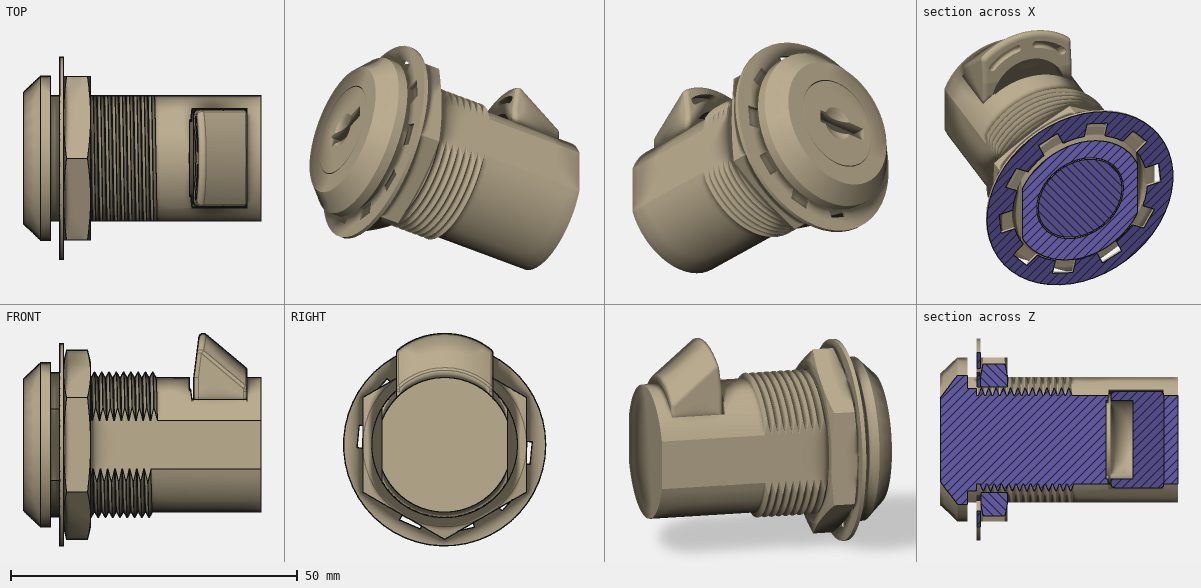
import cadquery as cq
import math


HEAD_RADIUS = 28.7 / 2
HEAD_FACE_RADIUS = 11.5
HEAD_BEVEL_LENGTH = 3.0
HEAD_LENGTH = 4.75
NECK_RADIUS = 12.6
BARREL_RADIUS = 11.75
HOUSING_LENGTH = 41.45
FLAT_HALF_WIDTH = 10.95

THREAD_RADIUS = 12.7
THREAD_PITCH = 1.27
THREAD_TURNS = 13
THREAD_END = 22.87
THREAD_START = THREAD_END - THREAD_TURNS * THREAD_PITCH
THREAD_ROOT_WIDTH = 1.25
THREAD_CREST_WIDTH = 0.06
THREAD_EMBED = 0.1
CREST_CLEARANCE = 0.02

PLUG_RADIUS = 15.95 / 2
PLUG_BORE_RADIUS = 16.31 / 2
KEYWAY_WIDTH = 10.1
KEYWAY_HEIGHT = 2.33
KEYWAY_OFFSET = -1.03
KEYWAY_DEPTH = 2.45
DIMPLE_RADIUS = 3.0
DIMPLE_DEPTH = 1.0

WASHER_START = 6.3
WASHER_THICKNESS = 0.7
WASHER_RADIUS = 35.31 / 2
WASHER_NOTCH_COUNT = 10
WASHER_NOTCH_WIDTH = 3.9
WASHER_NOTCH_REACH = 15.15
WASHER_NOTCH_PHASE = 5.5
NUT_START = WASHER_START + WASHER_THICKNESS
NUT_LENGTH = 4.7
NUT_CORNER_RADIUS = 16.5
NUT_FACE_RADIUS = 14.3
NUT_BEVEL_LENGTH = 0.52

PAWL_FRONT = 29.71
PAWL_BACK = 39.0
PAWL_HALF_WIDTH = 8.43
PAWL_LEAN_START = 11.75
LEAN_ANGLE = 7.1
PAWL_APEX_Z = 20.2
PAWL_SLOPE_ANGLE = 40.0
CROWN_AXIS_Z = 8.2
RECESS_AXIS_Z = 7.7
ROUND = 0.8
BACK_ROUND = 0.6
RECESS_RADIUS = 6.9
RECESS_DEPTH = 3.8
SLOT_ARC_RADIUS = 9.6
SLOT_WIDTH = 1.35
SLOT_FIRST_ANGLE = 10.5
SLOT_LAST_ANGLE = 43.5
SLOT_DEPTH = 2.4

POCKET_HALF_WIDTH = 8.7
POCKET_FLOOR_Z = 0.0
POCKET_FRONT = 29.4
POCKET_FRONT_Z = 7.9
NOTCH_FRONT = 28.95
REAR_BORE_RADIUS = 17.02 / 2


def cylinder_x(start, length, radius, axis_z=0):
    """Cylinder along X."""
    return cq.Workplane("YZ", origin=(start, 0, axis_z)).circle(radius).extrude(length)


def revolve_x(outline):
    """Solid of revolution about X from (x, radius) points."""
    return cq.Workplane("XY").polyline(outline).close().revolve(360, (0, 0), (1, 0))


def prism_y(outline, half_width):
    """Prism from (x, z) points, extending half_width to each side of y = 0."""
    return cq.Workplane("XZ").polyline(outline).close().extrude(half_width, both=True)


def make_threaded_rod():
    """Full-round barrel with a right-handed ridge that starts and ends on the -Y side."""
    root_radius = BARREL_RADIUS - THREAD_EMBED
    path = cq.Wire.makeHelix(THREAD_PITCH, THREAD_TURNS * THREAD_PITCH, root_radius)
    profile = (
        cq.Workplane("XZ")
        .moveTo(root_radius, -THREAD_ROOT_WIDTH / 2)
        .lineTo(THREAD_RADIUS, -THREAD_CREST_WIDTH / 2)
        .lineTo(THREAD_RADIUS, THREAD_CREST_WIDTH / 2)
        .lineTo(root_radius, THREAD_ROOT_WIDTH / 2)
        .close()
    )
    ridge = profile.sweep(cq.Workplane(obj=path), isFrenet=True)
    start_on_minus_y = ridge.rotate((0, 0, 0), (0, 0, 1), -90)
    along_x = start_on_minus_y.rotate((0, 0, 0), (0, 1, 0), 90)
    barrel = cylinder_x(HEAD_LENGTH, HOUSING_LENGTH - HEAD_LENGTH, BARREL_RADIUS)
    return barrel.union(along_x.translate((THREAD_START, 0, 0)))


def make_pocket():
    """Opening for the pawl; its front wall leans like the pawl face."""
    top = THREAD_RADIUS
    lean = math.tan(math.radians(LEAN_ANGLE))
    outline = [
        (PAWL_BACK, POCKET_FLOOR_Z),
        (PAWL_BACK, top),
        (POCKET_FRONT - lean * (top - POCKET_FRONT_Z), top),
        (POCKET_FRONT, POCKET_FRONT_Z),
        (POCKET_FRONT, POCKET_FLOOR_Z),
    ]
    return prism_y(outline, POCKET_HALF_WIDTH)


def make_housing(threaded_rod):
    """Head, neck and flatted threaded barrel, hollowed for the plug and the pawl."""
    head = revolve_x([
        (0, 0),
        (0, HEAD_FACE_RADIUS),
        (HEAD_BEVEL_LENGTH, HEAD_RADIUS),
        (HEAD_LENGTH, HEAD_RADIUS),
        (HEAD_LENGTH, 0),
    ])
    neck = cylinder_x(HEAD_LENGTH, WASHER_START - HEAD_LENGTH, NECK_RADIUS)
    flats = cq.Workplane("XY").box(
        HOUSING_LENGTH, 2 * FLAT_HALF_WIDTH, 4 * THREAD_RADIUS, centered=(False, True, True)
    )
    shank = threaded_rod.union(neck).intersect(flats)
    notch_length = PAWL_FRONT - NOTCH_FRONT
    return (
        head.union(shank)
        .cut(cylinder_x(0, PAWL_FRONT, PLUG_BORE_RADIUS))
        .cut(make_pocket())
        .cut(cylinder_x(POCKET_FRONT, PAWL_BACK - POCKET_FRONT, REAR_BORE_RADIUS))
        .cut(cylinder_x(NOTCH_FRONT, notch_length, RECESS_RADIUS, RECESS_AXIS_Z))
    )


def make_plug():
    """Plug with a flat-bottomed keyway across a shallow spherical dimple."""
    sphere_radius = (DIMPLE_RADIUS**2 + DIMPLE_DEPTH**2) / (2 * DIMPLE_DEPTH)
    dimple = cq.Workplane("XY", origin=(DIMPLE_DEPTH - sphere_radius, 0, 0)).sphere(sphere_radius)
    keyway = cq.Workplane("XY").box(
        KEYWAY_DEPTH, KEYWAY_WIDTH, KEYWAY_HEIGHT, centered=(False, True, True)
    )
    return (
        cylinder_x(0, PAWL_FRONT, PLUG_RADIUS)
        .cut(keyway.translate((0, KEYWAY_OFFSET, 0)))
        .cut(dimple)
    )


def make_washer():
    """Thin washer with rectangular notches opening into its bore."""
    washer = cylinder_x(WASHER_START, WASHER_THICKNESS, WASHER_RADIUS)
    washer = washer.cut(cylinder_x(WASHER_START, WASHER_THICKNESS, THREAD_RADIUS + CREST_CLEARANCE))
    notch = cq.Workplane("XY", origin=(WASHER_START, 0, 0)).box(
        WASHER_THICKNESS, WASHER_NOTCH_REACH, WASHER_NOTCH_WIDTH, centered=(False, False, True)
    )
    for index in range(WASHER_NOTCH_COUNT):
        angle = index * 360 / WASHER_NOTCH_COUNT - WASHER_NOTCH_PHASE
        washer = washer.cut(notch.rotate((0, 0, 0), (1, 0, 0), angle))
    return washer


def make_nut():
    """Hex nut with corners on +Z and -Z, bevelled at both ends, bored to clear the thread crests."""
    end = NUT_START + NUT_LENGTH
    hexagon = (
        cq.Workplane("YZ", origin=(NUT_START, 0, 0))
        .polygon(6, 2 * NUT_CORNER_RADIUS)
        .extrude(NUT_LENGTH)
        .rotate((0, 0, 0), (1, 0, 0), 90)
    )
    envelope = revolve_x([
        (NUT_START, 0),
        (NUT_START, NUT_FACE_RADIUS),
        (NUT_START + NUT_BEVEL_LENGTH, NUT_CORNER_RADIUS),
        (end - NUT_BEVEL_LENGTH, NUT_CORNER_RADIUS),
        (end, NUT_FACE_RADIUS),
        (end, 0),
    ])
    bore = cylinder_x(NUT_START, NUT_LENGTH, THREAD_RADIUS + CREST_CLEARANCE)
    return hexagon.intersect(envelope).cut(bore)


def make_arc_slot(side):
    """Curved slot with round ends on one side of the pawl face."""
    def point(radius, angle):
        turn = math.radians(angle)
        return (side * radius * math.sin(turn), radius * math.cos(turn))

    half_width = SLOT_WIDTH / 2
    middle = (SLOT_FIRST_ANGLE + SLOT_LAST_ANGLE) / 2
    end_turn = math.degrees(half_width / SLOT_ARC_RADIUS)
    outer = SLOT_ARC_RADIUS + half_width
    inner = SLOT_ARC_RADIUS - half_width
    return (
        cq.Workplane("YZ", origin=(PAWL_FRONT, 0, RECESS_AXIS_Z))
        .moveTo(*point(outer, SLOT_FIRST_ANGLE))
        .threePointArc(point(outer, middle), point(outer, SLOT_LAST_ANGLE))
        .threePointArc(point(SLOT_ARC_RADIUS, SLOT_LAST_ANGLE + end_turn), point(inner, SLOT_LAST_ANGLE))
        .threePointArc(point(inner, middle), point(inner, SLOT_FIRST_ANGLE))
        .threePointArc(point(SLOT_ARC_RADIUS, SLOT_FIRST_ANGLE - end_turn), point(outer, SLOT_FIRST_ANGLE))
        .close()
        .extrude(SLOT_DEPTH)
    )


def make_pawl():
    """Wedge whose front face leans back above the barrel."""
    lean = math.tan(math.radians(LEAN_ANGLE))
    slope = math.tan(math.radians(PAWL_SLOPE_ANGLE))
    apex_x = PAWL_FRONT + lean * (PAWL_APEX_Z - PAWL_LEAN_START)
    crown_radius = PAWL_APEX_Z - CROWN_AXIS_Z
    side_drop = crown_radius - math.sqrt(crown_radius**2 - PAWL_HALF_WIDTH**2)

    block = prism_y(
        [
            (PAWL_FRONT, POCKET_FLOOR_Z),
            (PAWL_FRONT, PAWL_LEAN_START),
            (apex_x, PAWL_APEX_Z),
            (PAWL_BACK, PAWL_APEX_Z),
            (PAWL_BACK, POCKET_FLOOR_Z),
        ],
        PAWL_HALF_WIDTH,
    )

    rise = slope * (apex_x - PAWL_FRONT)
    low = POCKET_FLOOR_Z - 2 * rise
    arch = (
        cq.Workplane("YZ", origin=(PAWL_FRONT, 0, rise))
        .moveTo(-PAWL_HALF_WIDTH, low)
        .lineTo(-PAWL_HALF_WIDTH, PAWL_APEX_Z - side_drop)
        .threePointArc((0, PAWL_APEX_Z), (PAWL_HALF_WIDTH, PAWL_APEX_Z - side_drop))
        .lineTo(PAWL_HALF_WIDTH, low)
        .close()
    )
    fall = slope * (PAWL_BACK - PAWL_FRONT)
    path = cq.Workplane("XZ").moveTo(PAWL_FRONT, rise).lineTo(PAWL_BACK, rise - fall)
    pawl = block.intersect(arch.sweep(path, transition="right"))

    front_and_sides = cq.selectors.BoxSelector(
        (PAWL_FRONT - ROUND, -2 * PAWL_HALF_WIDTH, POCKET_FLOOR_Z + ROUND),
        (PAWL_BACK - ROUND, 2 * PAWL_HALF_WIDTH, 2 * PAWL_APEX_Z),
    )
    pawl = pawl.edges(front_and_sides).edges("not |Y").fillet(ROUND)
    pawl = pawl.faces(">X").edges("not <Z").fillet(BACK_ROUND)

    pawl = pawl.cut(cylinder_x(PAWL_FRONT, RECESS_DEPTH, RECESS_RADIUS, RECESS_AXIS_Z))
    for side in (-1, 1):
        pawl = pawl.cut(make_arc_slot(side))
    return pawl


threaded_rod = make_threaded_rod()
housing = make_housing(threaded_rod)
plug = make_plug()
washer = make_washer()
nut = make_nut()
pawl = make_pawl()

result = cq.Compound.makeCompound([
    housing.val(),
    plug.val(),
    washer.val(),
    nut.val(),
    pawl.val(),
])